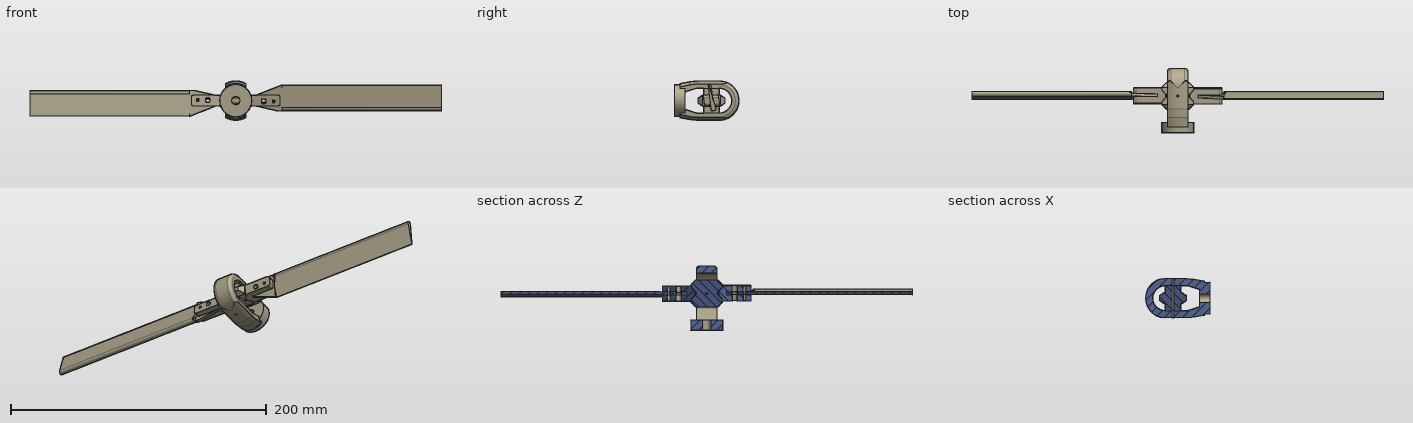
import cadquery as cq
import math


yoke_width = 16.5
yoke_radius = 15.5
yoke_back_y = 21.5
yoke_arc_y = yoke_back_y - yoke_radius
window_radius = 9.5
window_taper_y = -11.5
window_front_y = -20.5
window_front_half = 6.8
barrel_end_y = -10.3
nose_start_y = -17.0
nose_start_radius = 14.8
nose_end_y = -24.5
nose_end_radius = 13.5
yoke_edge_round = 3.0

disc_diameter = 25.0
disc_front_y = -29.0
disc_bore = 6.5

post_length_x = 13.0
post_width_y = 12.2
pivot_hole = 1.3
ear_reach_y = 10.5
ear_tip_half_height = 2.0
ear_root_y = 6.8
ear_root_half_height = 4.5
ear_reach_x = 12.2
ear_corner = 3.5
notch_bottom_x = 8.0

pitch = 7.0
grip_end_x = 34.7
grip_width = 12.0
grip_height = 8.7
grip_corner_radius = 2.0
grip_tip_x = 9.3
slot_width = 2.3
slot_root_x = 15.8
bolt_x = 22.0
bolt_hole = 4.0
shear_pin_x = 29.5
shear_pin_hole = 2.1

blade_tip_x = 161.0
leading_z = 8.0
trailing_z = -12.2
leading_taper_x = 32.5
trailing_taper_x = 35.7
tang_half_height = 4.2
blade_front_y = -slot_width / 2
blade_back_y = 2.5
nose_z = 5.0
trailing_thickness = 0.48
tang_end_x = 36.0
root_bevel = 2.0


def make_barrel():
    """Body of revolution about Y that rounds the outside of the yoke."""
    arc_length = math.hypot(barrel_end_y - nose_start_y, yoke_radius - nose_start_radius)
    drop_angle = math.asin((yoke_radius - nose_start_radius) / arc_length)
    arc_radius = arc_length / (2 * math.sin(drop_angle))
    half_span = arc_radius * math.sin(drop_angle)
    arc_mid = (
        yoke_radius - arc_radius * (1 - math.cos(drop_angle)),
        barrel_end_y - half_span,
    )
    return (
        cq.Workplane("XY")
        .moveTo(0, yoke_back_y)
        .lineTo(yoke_radius, yoke_back_y)
        .lineTo(yoke_radius, barrel_end_y)
        .threePointArc(arc_mid, (nose_start_radius, nose_start_y))
        .lineTo(nose_end_radius, nose_end_y)
        .lineTo(0, nose_end_y)
        .close()
        .revolve(360, (0, 0, 0), (0, 1, 0))
    )


def make_yoke():
    """Stirrup with two arms and a round back, joined to the drive disc."""
    outside = (
        cq.Workplane("YZ")
        .moveTo(nose_end_y, -yoke_radius)
        .lineTo(yoke_arc_y, -yoke_radius)
        .threePointArc((yoke_back_y, 0), (yoke_arc_y, yoke_radius))
        .lineTo(nose_end_y, yoke_radius)
        .close()
        .extrude(yoke_width / 2, both=True)
        .faces("<X or >X")
        .edges("not |Z")
        .fillet(yoke_edge_round)
    )
    window = (
        cq.Workplane("YZ")
        .moveTo(window_front_y, -window_front_half)
        .lineTo(window_taper_y, -window_radius)
        .lineTo(yoke_arc_y, -window_radius)
        .threePointArc((yoke_arc_y + window_radius, 0), (yoke_arc_y, window_radius))
        .lineTo(window_taper_y, window_radius)
        .lineTo(window_front_y, window_front_half)
        .close()
        .extrude(yoke_width, both=True)
    )
    stirrup = outside.intersect(make_barrel())
    disc = (
        cq.Workplane("XZ", origin=(0, disc_front_y, 0))
        .circle(disc_diameter / 2)
        .extrude(disc_front_y - window_front_y)
    )
    bore = (
        cq.Workplane("XZ", origin=(0, disc_front_y, 0))
        .circle(disc_bore / 2)
        .extrude(disc_front_y - window_front_y)
    )
    return stirrup.cut(window).union(disc).cut(bore).cut(make_pivot_bore())


def make_pivot_bore():
    """Bore along Z through both yoke arms and the hub."""
    return cq.Workplane("XY").circle(pivot_hole / 2).extrude(yoke_radius, both=True)


def make_hub(grips):
    """Post between the arms with a flat eared plate, notched where the grips enter."""
    post = cq.Workplane("XY").box(post_length_x, post_width_y, 2 * window_radius)
    plate = (
        cq.Workplane("YZ")
        .polyline([
            (-ear_reach_y, -ear_tip_half_height),
            (-ear_root_y, -ear_root_half_height),
            (ear_root_y, -ear_root_half_height),
            (ear_reach_y, -ear_tip_half_height),
            (ear_reach_y, ear_tip_half_height),
            (ear_root_y, ear_root_half_height),
            (-ear_root_y, ear_root_half_height),
            (-ear_reach_y, ear_tip_half_height),
        ])
        .close()
        .extrude(ear_reach_x, both=True)
        .edges("|Z")
        .chamfer(ear_corner)
    )
    notch_half_width = ear_reach_x - notch_bottom_x
    hub = post.union(plate)
    for side in (-1, 1):
        notch = (
            cq.Workplane("XY")
            .polyline([
                (side * notch_bottom_x, 0),
                (side * ear_reach_x, notch_half_width),
                (side * ear_reach_x, -notch_half_width),
            ])
            .close()
            .extrude(window_radius, both=True)
        )
        hub = hub.cut(notch)
    for grip in grips:
        hub = hub.cut(grip)
    return hub.cut(make_pivot_bore())


def turn_to_side(body, side):
    """Body built along -X, turned half a turn about Y for side +1."""
    if side > 0:
        return body.rotate((0, 0, 0), (0, 1, 0), 180)
    return body


def make_bolt_bores():
    """Bores along Y that fix a blade in its grip."""
    bolt = cq.Workplane("XZ").center(-bolt_x, 0).circle(bolt_hole / 2)
    pin = cq.Workplane("XZ").center(-shear_pin_x, 0).circle(shear_pin_hole / 2)
    return bolt.extrude(grip_width, both=True).union(pin.extrude(grip_width, both=True))


def make_grip(side):
    """Slotted block whose pointed inner end enters the notch of the hub."""
    half_width = grip_width / 2
    half_height = grip_height / 2
    lean = half_height * math.tan(math.radians(pitch))
    bar = (
        cq.Workplane("YZ", origin=(-grip_end_x, 0, 0))
        .polyline([
            (-half_width - lean, -half_height),
            (half_width - lean, -half_height),
            (half_width + lean, half_height),
            (-half_width + lean, half_height),
        ])
        .close()
        .extrude(grip_end_x - grip_tip_x)
        .faces("<X")
        .edges("<Z or >Z")
        .fillet(grip_corner_radius)
    )
    point_half = ear_reach_x - notch_bottom_x
    tip_half = grip_tip_x - notch_bottom_x
    outline = (
        cq.Workplane("XY")
        .polyline([
            (-grip_end_x, -grip_width),
            (-ear_reach_x, -grip_width),
            (-ear_reach_x, -point_half),
            (-grip_tip_x, -tip_half),
            (-grip_tip_x, tip_half),
            (-ear_reach_x, point_half),
            (-ear_reach_x, grip_width),
            (-grip_end_x, grip_width),
        ])
        .close()
        .extrude(grip_height, both=True)
    )
    slot_length = grip_end_x - slot_root_x
    slot = cq.Workplane("XY").box(slot_length, slot_width, 2 * grip_height)
    slot = slot.translate((-slot_root_x - slot_length / 2, 0, 0))
    openings = slot.union(make_bolt_bores()).rotate((0, 0, 0), (1, 0, 0), -pitch)
    return turn_to_side(bar.intersect(outline).cut(openings), side)


def make_blade(side):
    """Airfoil blade with a thin tapered tang that fills the slot of the grip."""
    nose_mid = ((blade_front_y + blade_back_y) / 2, leading_z)
    airfoil = (
        cq.Workplane("YZ", origin=(-blade_tip_x, 0, 0))
        .moveTo(blade_front_y, trailing_z)
        .lineTo(blade_front_y, nose_z)
        .threePointArc(nose_mid, (blade_back_y, nose_z))
        .lineTo(blade_front_y + trailing_thickness, trailing_z)
        .close()
        .extrude(blade_tip_x - tang_end_x)
    )
    root_cut = (
        cq.Workplane("XY")
        .polyline([
            (-tang_end_x, slot_width / 2),
            (-tang_end_x, blade_back_y),
            (-tang_end_x - root_bevel, blade_back_y),
        ])
        .close()
        .extrude(-trailing_z, both=True)
    )
    tang = (
        cq.Workplane("XZ")
        .polyline([
            (-slot_root_x, tang_half_height),
            (-leading_taper_x, leading_z),
            (-tang_end_x, leading_z),
            (-tang_end_x, trailing_z),
            (-trailing_taper_x, trailing_z),
            (-slot_root_x, -tang_half_height),
        ])
        .close()
        .extrude(slot_width / 2, both=True)
    )
    blade = airfoil.cut(root_cut).union(tang).cut(make_bolt_bores())
    return turn_to_side(blade.rotate((0, 0, 0), (1, 0, 0), -pitch), side)


sides = (-1, 1)
yoke = make_yoke()
grips = [make_grip(side) for side in sides]
blades = [make_blade(side) for side in sides]
hub = make_hub(grips)

result = cq.Compound.makeCompound([
    yoke.val(),
    hub.val(),
    *[grip.val() for grip in grips],
    *[blade.val() for blade in blades],
])